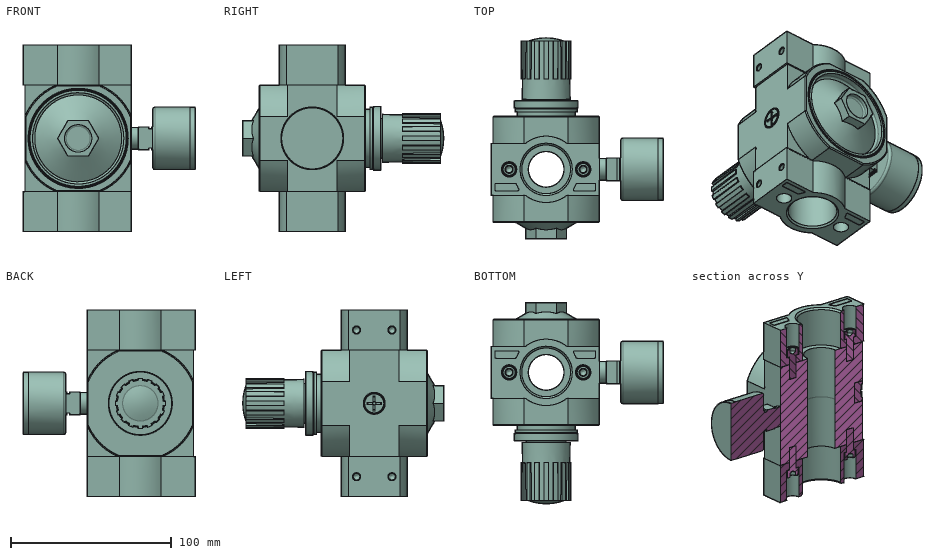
import cadquery as cq
import math

body_half = 33.1
body_half_length = 33.1
corner_flat_half = 13.6
block_half_y = 15.4
body_chamfer = 0.8
bore_d = 22.0

neck_r = 18.1
flange_r = 19.4
nut_groove_r = 19.0
nut_r = 19.9
spindle_d = 24.9
flange_y = 35.8
flange_end_y = 37.4
nut_y = 38.1
nut_end_y = 42.8
nut_chamfer = 0.4

groove_outer_r = 31.1
groove_inner_r = 29.9
groove_depth = 0.5
dish_rim_r = 28.4
dish_floor_r = 27.0
dish_depth = 4.8
cone_top_r = 10.0
cone_slope = 30.0
hex_flats = 22.1
hex_end_y = -43.2
hex_recess_d = 17.0
hex_recess_depth = 3.2
hex_recess_fillet = 1.0

plate_height = 24.9
plate_overhang = 1.1
plate_half_y = 16.1
collar_r = 20.6
port_d = 30.2
port_chamfer = 1.1
tap_d = 4.1
tap_mouth_d = 5.0
tap_depth = 6.2
tap_y = 11.0
drill_point_angle = 118.0
label_margin = 2.4
label_inner_x = 16.5
label_slant = 2.2
label_front_y = -13.4
label_back_y = -8.8
label_depth = 0.2
label_corner_r = 0.8

screw_x = 23.0
screw_hole_d = 9.5
screw_head_d = 8.5
screw_head_height = 5.0
screw_head_chamfer = 0.5
screw_shank_d = 5.0
screw_seat = 5.0
screw_grip = 10.0
socket_d = 4.2
socket_mouth_d = 5.0
socket_depth = 2.5

plug_d = 13.1
plug_mouth_d = 13.6
plug_length = 6.2
plug_chamfer = 0.6
cross_length = 9.2
cross_width = 1.2
cross_depth = 1.0
cross_end_slope = 0.8
cross_centre_d = 2.0
cross_centre_depth = 1.5

stem_d = 13.6
stem_end_x = 37.5
stem_chamfer = 0.4
square_size = 14.4
square_groove_x = 44.0
square_groove_end_x = 45.6
square_groove_depth = 1.1
case_back_x = 46.2
case_end_x = 72.9
case_r = 19.5
case_fillet = 1.6
bezel_r = 19.4
bezel_x = 69.5
bezel_chamfer = 0.4

knob_y = 43.5
knob_end_y = 79.8
knob_r = 15.0
knob_end_r = 14.2
rib_y = 56.0
rib_r = 15.5
rib_width = 2.9
rib_count = 16
dome_r = 11.0
dome_height = 2.0

plate_top = body_half + plate_height
plate_left = -body_half - plate_overhang
body_r = math.hypot(body_half, corner_flat_half)
seat_z = body_half + screw_seat
point_ratio = 1 / math.tan(math.radians(drill_point_angle / 2))


def turned_y(points):
    """Solid of revolution about Y from (radius, y) points."""
    return cq.Workplane("XY").polyline(points).close().revolve(360, (0, 0, 0), (0, 1, 0))


def turned_x(points):
    """Solid of revolution about X from (x, radius) points."""
    return cq.Workplane("XY").polyline(points).close().revolve(360, (0, 0, 0), (1, 0, 0))


def turned_z(points):
    """Solid of revolution about Z from (radius, z) points."""
    return cq.Workplane("XZ").polyline(points).close().revolve(360, (0, 0, 0), (0, 1, 0))


def make_shell():
    side = 2 * body_half
    block = cq.Workplane("XY").box(side, 2 * block_half_y, side)
    barrel = cq.Workplane("XZ").circle(body_r).extrude(body_half_length, both=True)
    flats = cq.Workplane("XY").box(side, 2 * body_half_length, side)
    barrel = barrel.intersect(flats).faces("<Y or >Y").chamfer(body_chamfer)
    return block.union(barrel)


def make_bonnet():
    return turned_y([
        (0, 0),
        (neck_r, 0),
        (neck_r, flange_y),
        (flange_r, flange_y),
        (flange_r, flange_end_y),
        (nut_groove_r, flange_end_y),
        (nut_groove_r, nut_y),
        (nut_r, nut_y),
        (nut_r, nut_end_y - nut_chamfer),
        (nut_r - nut_chamfer, nut_end_y),
        (spindle_d / 2, nut_end_y),
        (spindle_d / 2, knob_y),
        (0, knob_y),
    ])


def cut_dish(body):
    """Ring groove and dished recess in the -Y face."""
    face = -body_half_length
    groove = turned_y([
        (groove_inner_r, face),
        (groove_outer_r, face),
        (groove_outer_r - groove_depth, face + groove_depth),
        (groove_inner_r + groove_depth, face + groove_depth),
    ])
    dish = (
        cq.Workplane("XZ", origin=(0, face + dish_depth, 0))
        .circle(dish_rim_r)
        .extrude(dish_depth)
        .faces(">Y").edges().fillet(dish_rim_r - dish_floor_r)
    )
    return body.cut(groove).cut(dish)


def make_cap_cone():
    base_y = -body_half_length + dish_depth
    top_y = base_y - (dish_floor_r - cone_top_r) * math.tan(math.radians(cone_slope))
    return turned_y([(0, base_y), (dish_floor_r, base_y), (cone_top_r, top_y), (0, top_y)])


def make_cap_hexagon():
    root_y = -body_half_length + dish_depth
    hexagon = (
        cq.Workplane("XZ", origin=(0, root_y, 0))
        .polygon(6, hex_flats / math.cos(math.pi / 6))
        .extrude(root_y - hex_end_y)
    )
    recess = (
        cq.Workplane("XZ", origin=(0, hex_end_y + hex_recess_depth, 0))
        .circle(hex_recess_d / 2)
        .extrude(hex_recess_depth)
        .faces(">Y").edges().fillet(hex_recess_fillet)
    )
    return hexagon, recess


def plug_bore():
    half = plug_d / 2
    mouth = plug_mouth_d / 2
    lip = mouth - half
    return turned_x([
        (-body_half, 0),
        (-body_half, mouth),
        (-body_half + lip, half),
        (-body_half + plug_length, half),
        (-body_half + plug_length, 0),
    ])


def make_housing(screws):
    """Block with bonnet and cap, bored for the flow, the plug and the plate screws."""
    hexagon, recess = make_cap_hexagon()
    body = cut_dish(make_shell())
    body = body.union(make_cap_cone()).union(hexagon).cut(recess).union(make_bonnet())
    body = body.cut(cq.Workplane("XY").circle(bore_d / 2).extrude(body_half, both=True))
    body = body.cut(plug_bore())
    for screw in screws:
        body = body.cut(screw)
    return body


def label_outline(outer_x, side):
    """Shallow label recess with one slanted end towards the port."""
    return (
        cq.Workplane("XY", origin=(0, 0, plate_top - label_depth))
        .polyline([
            (outer_x, label_front_y),
            (side * label_inner_x, label_front_y),
            (side * (label_inner_x + label_slant), label_back_y),
            (outer_x, label_back_y),
        ])
        .close()
        .extrude(label_depth)
        .edges("|Z").fillet(label_corner_r)
    )


def tapped_hole():
    """Blind tapped hole into the -X side, with a countersunk mouth and a drill point."""
    r = tap_d / 2
    mouth = tap_mouth_d / 2
    end_x = plate_left + tap_depth
    return turned_x([
        (plate_left, 0),
        (plate_left, mouth),
        (plate_left + mouth - r, r),
        (end_x, r),
        (end_x + r * point_ratio, 0),
    ]).translate((0, 0, body_half + plate_height / 2))


def make_plate():
    """Upper connection plate."""
    base = cq.Workplane("XY", origin=(0, 0, body_half))
    length = body_half - plate_left
    plate = base.center(plate_left + length / 2, 0).rect(length, 2 * plate_half_y).extrude(plate_height)
    plate = plate.union(base.circle(collar_r).extrude(plate_height))
    plate = plate.cut(base.circle(port_d / 2).extrude(plate_height))
    plate = plate.faces(">Z").edges(cq.selectors.RadiusNthSelector(0)).chamfer(port_chamfer)
    sites = [(-screw_x, 0), (screw_x, 0)]
    plate = plate.cut(base.pushPoints(sites).circle(screw_shank_d / 2).extrude(plate_height))
    seat = base.workplane(offset=screw_seat)
    plate = plate.cut(seat.pushPoints(sites).circle(screw_hole_d / 2).extrude(plate_height))
    for y in (-tap_y, tap_y):
        plate = plate.cut(tapped_hole().translate((0, y, 0)))
    plate = plate.cut(label_outline(plate_left + label_margin, -1))
    return plate.cut(label_outline(body_half - label_margin, 1))


def make_screw():
    """Upper socket-head screw on the Z axis."""
    head_r = screw_head_d / 2
    socket_r = socket_d / 2
    mouth_r = socket_mouth_d / 2
    shank_r = screw_shank_d / 2
    head_top = seat_z + screw_head_height
    tip_z = body_half - screw_grip
    return turned_z([
        (0, tip_z),
        (shank_r, tip_z),
        (shank_r, seat_z),
        (head_r, seat_z),
        (head_r, head_top - screw_head_chamfer),
        (head_r - screw_head_chamfer, head_top),
        (mouth_r, head_top),
        (socket_r, head_top - (mouth_r - socket_r)),
        (socket_r, head_top - socket_depth),
        (0, head_top - socket_depth - socket_r * point_ratio),
    ])


def make_plug():
    face = -body_half
    r = plug_d / 2
    plug = turned_x([
        (face, 0),
        (face, r - plug_chamfer),
        (face + plug_chamfer, r),
        (face + plug_length, r),
        (face + plug_length, 0),
    ])
    arm = (
        cq.Workplane("XY")
        .polyline([
            (face, -cross_length / 2),
            (face + cross_depth, -cross_length / 2 + cross_end_slope),
            (face + cross_depth, cross_length / 2 - cross_end_slope),
            (face, cross_length / 2),
        ])
        .close()
        .extrude(cross_width / 2, both=True)
    )
    centre = cq.Workplane("YZ", origin=(face, 0, 0)).circle(cross_centre_d / 2).extrude(cross_centre_depth)
    return plug.cut(arm).cut(arm.rotate((0, 0, 0), (1, 0, 0), 90)).cut(centre)


def make_gauge():
    stem_r = stem_d / 2
    stem = turned_x([
        (body_half, 0),
        (body_half, stem_r),
        (stem_end_x - stem_chamfer, stem_r),
        (stem_end_x, stem_r - stem_chamfer),
        (stem_end_x, 0),
    ])
    groove_size = square_size - 2 * square_groove_depth
    sections = [
        (stem_end_x, square_groove_x, square_size),
        (square_groove_x, square_groove_end_x, groove_size),
        (square_groove_end_x, case_back_x, square_size),
    ]
    gauge = stem
    for start_x, end_x, height in sections:
        section = cq.Workplane("YZ", origin=(start_x, 0, 0)).rect(square_size, height)
        gauge = gauge.union(section.extrude(end_x - start_x))
    case = (
        cq.Workplane("YZ", origin=(case_back_x, 0, 0))
        .circle(case_r)
        .extrude(bezel_x - case_back_x)
        .faces("<X").edges().fillet(case_fillet)
    )
    bezel = (
        cq.Workplane("YZ", origin=(bezel_x, 0, 0))
        .circle(bezel_r)
        .extrude(case_end_x - bezel_x)
        .faces(">X").edges().chamfer(bezel_chamfer)
    )
    return gauge.union(case).union(bezel)


def make_knob():
    dome_sphere_r = (dome_r ** 2 + dome_height ** 2) / (2 * dome_height)
    mid_angle = math.asin(dome_r / dome_sphere_r) / 2
    dome_mid = (
        dome_sphere_r * math.sin(mid_angle),
        knob_end_y + dome_height - dome_sphere_r * (1 - math.cos(mid_angle)),
    )
    core = (
        cq.Workplane("XY")
        .moveTo(0, knob_y)
        .lineTo(knob_r, knob_y)
        .lineTo(knob_end_r, knob_end_y)
        .lineTo(dome_r, knob_end_y)
        .threePointArc(dome_mid, (0, knob_end_y + dome_height))
        .close()
        .revolve(360, (0, 0, 0), (0, 1, 0))
    )
    rib_length = knob_end_y - rib_y
    bar = (
        cq.Workplane("XY")
        .box(rib_r, rib_length, rib_width)
        .translate((rib_r / 2, rib_y + rib_length / 2, 0))
    )
    for i in range(rib_count):
        core = core.union(bar.rotate((0, 0, 0), (0, 1, 0), i * 360 / rib_count))
    return core


upper_plate = make_plate()
plates = [upper_plate, upper_plate.mirror("XY")]

screws = []
for x in (-screw_x, screw_x):
    upper_screw = make_screw().translate((x, 0, 0))
    screws.append(upper_screw)
    screws.append(upper_screw.mirror("XY"))

housing = make_housing(screws)
plug = make_plug()
gauge = make_gauge()
knob = make_knob()

result = cq.Compound.makeCompound([
    housing.val(),
    *[plate.val() for plate in plates],
    *[screw.val() for screw in screws],
    plug.val(),
    gauge.val(),
    knob.val(),
])